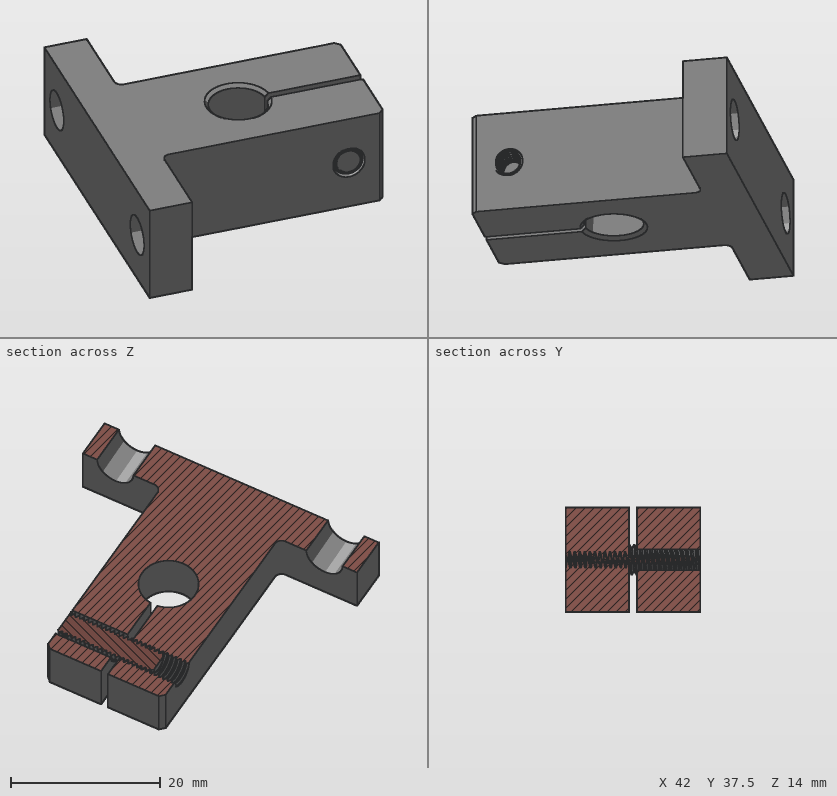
import cadquery as cq
import math

base_length = 42.0
base_thickness = 6.0
total_depth = 37.5
height = 14.0
bolt_spacing = 32.0
bolt_hole_diameter = 5.5

block_width = 18.0
block_corner_chamfer = 0.67
inner_corner_radius = 1.0
slot_width = 1.0

bore_y = 20.0
bore_diameter = 8.0
bore_chamfer = 0.5

screw_end_distance = 5.0
screw_y = total_depth - screw_end_distance
screw_major_diameter = 4.0
screw_minor_diameter = 3.1
tap_major_diameter = 4.1
tap_minor_diameter = 3.3
screw_clearance_diameter = 4.5
thread_pitch = 0.67
thread_crest_width = 0.1
thread_flank_angle = 30.0
ridge_trim_margin = 0.4
thread_root_overlap = 0.05
screw_tip_depth = 3.5
screw_tip_diameter = 2.6

block_side = block_width / 2
screw_tip_x = screw_tip_depth - block_side


def cylinder_along_z(radius, start, end):
    return cq.Workplane("XY", origin=(0, 0, start)).circle(radius).extrude(end - start)


def threaded_rod(minor_diameter, major_diameter, x_start, x_end, tip_diameter=None):
    """Right-hand threaded rod along x on the screw axis, with a crest facing +y at x = 0.

    With a tip diameter, the core is chamfered at 45 degrees down to that diameter at x_start
    and the thread starts behind the chamfer.
    """
    root_radius = minor_diameter / 2 - thread_root_overlap
    crest_radius = major_diameter / 2
    half_crest = thread_crest_width / 2
    half_root = half_crest + (crest_radius - root_radius) * math.tan(math.radians(thread_flank_angle))

    first_turn = math.floor(x_start / thread_pitch) - 1
    last_turn = math.ceil(x_end / thread_pitch) + 1
    ridge_start = first_turn * thread_pitch
    ridge_length = (last_turn - first_turn) * thread_pitch
    helix_start = cq.Vector(0, 0, ridge_start)
    helix = cq.Wire.makeHelix(thread_pitch, ridge_length, root_radius, center=helix_start)
    ridge = (
        cq.Workplane("XZ")
        .polyline([
            (root_radius, ridge_start - half_root),
            (crest_radius, ridge_start - half_crest),
            (crest_radius, ridge_start + half_crest),
            (root_radius, ridge_start + half_root),
        ])
        .close()
        .sweep(cq.Workplane(helix), isFrenet=True)
    )

    core = cylinder_along_z(minor_diameter / 2, x_start, x_end)
    thread_start = x_start
    if tip_diameter is not None:
        tip_chamfer = (minor_diameter - tip_diameter) / 2
        core = core.faces("<Z").chamfer(tip_chamfer)
        thread_start = x_start + tip_chamfer
    trimming_cylinder = cylinder_along_z(crest_radius + ridge_trim_margin, thread_start, x_end)
    rod = core.union(ridge.intersect(trimming_cylinder))

    return rod.rotate((0, 0, 0), (1, 1, 1), 120).translate((0, screw_y, 0))


def bracket_blank():
    """T-shaped body: the base plate with the clamp block standing on it."""
    base = cq.Workplane("XY").box(base_length, base_thickness, height, centered=(True, False, True))
    block = (
        cq.Workplane("XY")
        .box(block_width, total_depth, height, centered=(True, False, True))
        .edges("|Z and >Y")
        .chamfer(block_corner_chamfer)
    )
    inner_corners = [(side * block_side, base_thickness, 0) for side in (-1, 1)]
    blank = base.union(block)
    for corner in inner_corners:
        blank = blank.edges(cq.selectors.NearestToPointSelector(corner)).fillet(inner_corner_radius)
    return blank


def bolt_holes():
    """Two holes through the base along y."""
    return (
        cq.Workplane("XZ")
        .rarray(bolt_spacing, 0.4, 2, 1)
        .circle(bolt_hole_diameter / 2)
        .extrude(-base_thickness)
    )


def shaft_bore():
    """Through bore along z with both rims chamfered."""
    radius = bore_diameter / 2
    rim_radius = radius + bore_chamfer
    top = height / 2
    return (
        cq.Workplane("XZ", origin=(0, bore_y, 0))
        .polyline([
            (0, -top),
            (rim_radius, -top),
            (radius, bore_chamfer - top),
            (radius, top - bore_chamfer),
            (rim_radius, top),
            (0, top),
        ])
        .close()
        .revolve(360, (0, 0), (0, 1))
    )


def clamp_slot():
    """Slit from the bore to the far end of the block."""
    slot_length = total_depth - bore_y
    return (
        cq.Workplane("XY", origin=(0, bore_y, 0))
        .box(slot_width, slot_length, height, centered=(True, False, True))
    )


def screw_clearance():
    """Plain hole for the clamp screw, from the slot to the +x side."""
    return (
        cq.Workplane("YZ")
        .center(screw_y, 0)
        .circle(screw_clearance_diameter / 2)
        .extrude(block_side)
    )


def screw_tapping():
    """Threaded hole for the clamp screw, from the -x side to the slot."""
    return threaded_rod(tap_minor_diameter, tap_major_diameter, -block_side, 0)


def make_bracket():
    return (
        bracket_blank()
        .cut(bolt_holes())
        .cut(shaft_bore())
        .cut(clamp_slot())
        .cut(screw_clearance())
        .cut(screw_tapping())
    )


def make_screw():
    """Threaded screw with a chamfered tip, flush with the +x side of the block."""
    return threaded_rod(
        screw_minor_diameter, screw_major_diameter, screw_tip_x, block_side, screw_tip_diameter
    )


bracket = make_bracket()
clamp_screw = make_screw()
result = cq.Compound.makeCompound([bracket.solids().val(), clamp_screw.solids().val()])